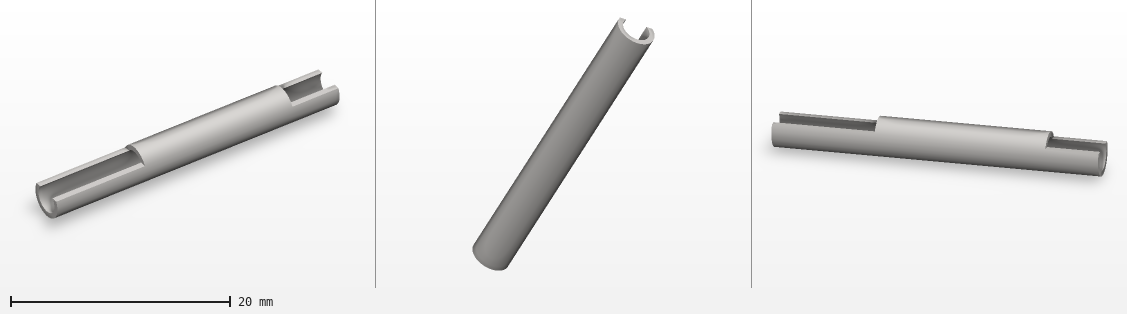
import cadquery as cq

length = 30.6
outer_diameter = 3.7
bore_diameter = 2.65

cut_depth = 1.0
front_cut_length = 9.6
back_cut_length = 5.0


def make_tube():
    """Round tube with a through bore."""
    return (
        cq.Workplane("XZ")
        .circle(outer_diameter / 2)
        .circle(bore_diameter / 2)
        .extrude(length / 2, both=True)
    )


def end_cut(y_start, cut_length):
    """Block that removes the top of the tube from y_start toward +Y."""
    floor_height = outer_diameter / 2 - cut_depth
    return (
        cq.Workplane("XY")
        .box(outer_diameter, cut_length, cut_depth, centered=(True, False, False))
        .translate((0, y_start, floor_height))
    )


front_cut = end_cut(-length / 2, front_cut_length)
back_cut = end_cut(length / 2 - back_cut_length, back_cut_length)
result = make_tube().cut(front_cut).cut(back_cut)